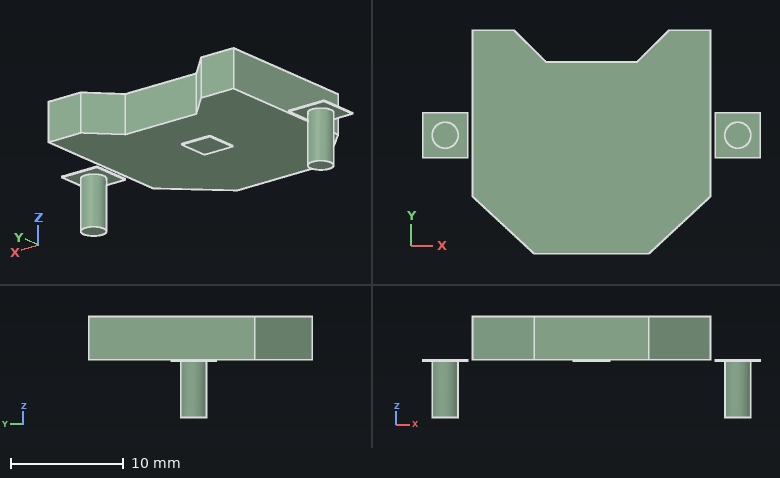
import cadquery as cq

overall_height = 8.95
housing_height = 3.85
housing_width = 21.1
housing_back = 9.3
housing_length = 19.8

corner_width = 5.47
corner_length = 5.08

notch_mouth_width = 13.7
notch_floor_width = 8.08
notch_depth = 2.8

pad_thickness = 0.1
side_pad_size = 4.0
center_pad_size = 3.2

pin_diameter = 2.3
pin_length = overall_height - housing_height
pin_spacing = 25.9
pin_positions = [-pin_spacing / 2, pin_spacing / 2]


def make_housing():
    """Flat block with two sloped front corners and a trapezoidal notch at the back."""
    side_x = housing_width / 2
    front_y = housing_back - housing_length
    front_x = side_x - corner_width
    corner_y = front_y + corner_length
    notch_floor_y = housing_back - notch_depth
    right_half = [
        (front_x, front_y),
        (side_x, corner_y),
        (side_x, housing_back),
        (notch_mouth_width / 2, housing_back),
        (notch_floor_width / 2, notch_floor_y),
    ]
    left_half = [(-x, y) for x, y in reversed(right_half)]
    return cq.Workplane("XY").polyline(right_half + left_half).close().extrude(housing_height)


def make_center_pad():
    """Square pad against the underside of the housing."""
    return cq.Workplane("XY").rect(center_pad_size, center_pad_size).extrude(-pad_thickness)


def make_side_pad(x):
    """Square pad with a hole for its pin, its top level with the housing underside."""
    pad = cq.Workplane("XY").rect(side_pad_size, side_pad_size).circle(pin_diameter / 2)
    return pad.extrude(-pad_thickness).translate((x, 0, 0))


def make_pin(x):
    """Round pin whose top end is flush with the top of its pad."""
    return cq.Workplane("XY").center(x, 0).circle(pin_diameter / 2).extrude(-pin_length)


housing = make_housing()
center_pad = make_center_pad()
side_pads = [make_side_pad(x) for x in pin_positions]
pins = [make_pin(x) for x in pin_positions]

result = cq.Compound.makeCompound([
    housing.val(),
    center_pad.val(),
    *[pad.val() for pad in side_pads],
    *[pin.val() for pin in pins],
])